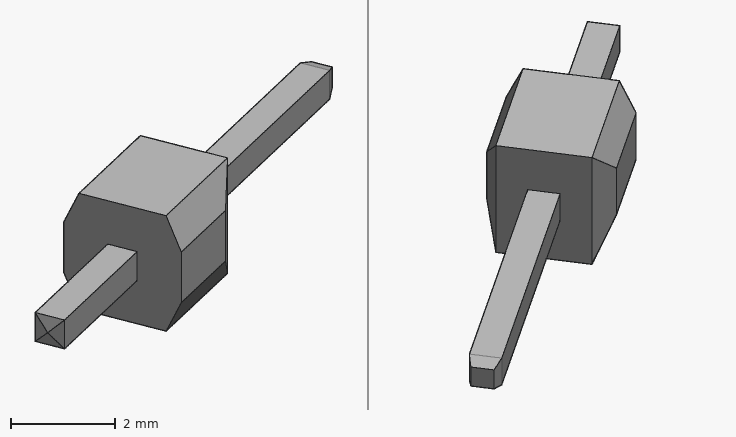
import cadquery as cq

total_length = 11.34
housing_size = 2.54
pin_width = 0.64

point_length = 0.09
taper_length = 0.28
taper_end_width = 0.45

front_pin_length = 3.1
bevel_depth = 0.33
bevel_length = 0.71

front_y = -total_length / 2
back_y = total_length / 2
housing_front_y = front_y + front_pin_length
housing_back_y = housing_front_y + housing_size
half_size = housing_size / 2


def make_housing():
    """Cube bevelled along the top, bottom and back edges of both X sides."""
    inner_x = half_size - bevel_depth
    side_z = half_size - bevel_length
    side_back_y = housing_back_y - bevel_length

    front_outline = [
        (-inner_x, -half_size),
        (inner_x, -half_size),
        (half_size, -side_z),
        (half_size, side_z),
        (inner_x, half_size),
        (-inner_x, half_size),
        (-half_size, side_z),
        (-half_size, -side_z),
    ]
    top_outline = [
        (-half_size, housing_front_y),
        (half_size, housing_front_y),
        (half_size, side_back_y),
        (inner_x, housing_back_y),
        (-inner_x, housing_back_y),
        (-half_size, side_back_y),
    ]
    along_y = (
        cq.Workplane("XZ", origin=(0, housing_front_y, 0))
        .polyline(front_outline).close().extrude(-housing_size)
    )
    along_z = (
        cq.Workplane("XY", origin=(0, 0, -half_size))
        .polyline(top_outline).close().extrude(housing_size)
    )
    return along_y.intersect(along_z)


def make_front_point(base_y):
    """Four-sided pyramid from the square pin to a single tip at front_y."""
    half_width = pin_width / 2
    tip = cq.Vector(0, front_y, 0)
    corners = [
        cq.Vector(x * half_width, base_y, z * half_width)
        for x, z in [(-1, -1), (1, -1), (1, 1), (-1, 1)]
    ]
    faces = [cq.Face.makeFromWires(cq.Wire.makePolygon(corners, close=True))]
    for start, end in zip(corners, corners[1:] + corners[:1]):
        side = cq.Wire.makePolygon([start, end, tip], close=True)
        faces.append(cq.Face.makeFromWires(side))
    return cq.Workplane(cq.Solid.makeSolid(cq.Shell.makeShell(faces)))


def make_pin():
    """Square pin with its pyramid point and its blunt tapered end."""
    shaft_front_y = front_y + point_length
    shaft_back_y = back_y - taper_length
    shaft = (
        cq.Workplane("XZ", origin=(0, shaft_front_y, 0))
        .rect(pin_width, pin_width)
        .extrude(shaft_front_y - shaft_back_y)
    )
    taper = (
        cq.Workplane("XZ", origin=(0, shaft_back_y, 0))
        .rect(pin_width, pin_width)
        .workplane(offset=-taper_length)
        .rect(taper_end_width, taper_end_width)
        .loft(ruled=True)
    )
    return shaft.union(taper).union(make_front_point(shaft_front_y))


result = make_housing().union(make_pin())